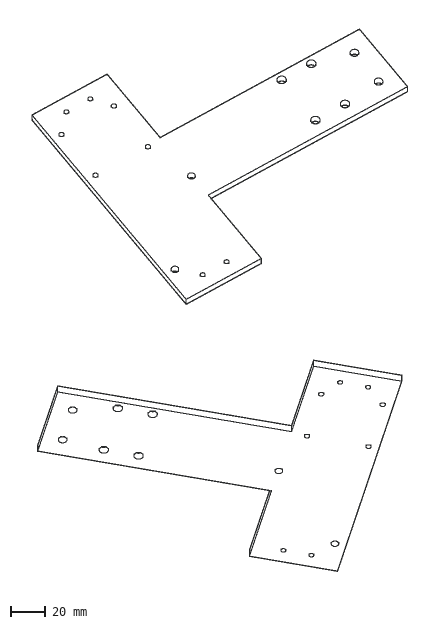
import cadquery as cq

bar_width = 160.8
bar_depth = 52.9
total_length = 193.0
stem_width = 50.2
thickness = 5.0

tip_hole_diameter = 5.0
tip_hole_spacing = 25.0
tip_hole_y = 181.0

stem_hole_diameter = 5.5
stem_hole_left_x = -20.0
stem_hole_right_x = 15.0
stem_hole_rows = (135.0, 155.8)

locating_hole_diameter = 4.5
locating_hole_points = [(8.1, 52.5), (58.7, 6.8)]

bar_hole_diameter = 3.0
bar_hole_columns = (-59.0, -23.5)
bar_hole_rows = (6.4, 43.2)

end_hole_diameter = 2.9
end_hole_x = 71.0
end_hole_rows = (18.0, 34.7)


def grid(columns, rows):
    """Return every combination of the given X and Y positions."""
    return [(x, y) for x in columns for y in rows]


def plate(width, length):
    """Return a flat plate centred in X, starting at Y = 0 and Z = 0."""
    return cq.Workplane("XY").box(width, length, thickness, centered=(True, False, False))


def drill(body, points, diameter):
    """Cut round through holes at the given points."""
    cutters = cq.Workplane("XY").pushPoints(points).circle(diameter / 2).extrude(thickness)
    return body.cut(cutters)


result = plate(bar_width, bar_depth).union(plate(stem_width, total_length))

tip_hole_columns = (-tip_hole_spacing / 2, tip_hole_spacing / 2)
stem_hole_columns = (stem_hole_left_x, stem_hole_right_x)
end_hole_columns = (-end_hole_x, end_hole_x)

result = drill(result, grid(tip_hole_columns, [tip_hole_y]), tip_hole_diameter)
result = drill(result, grid(stem_hole_columns, stem_hole_rows), stem_hole_diameter)
result = drill(result, locating_hole_points, locating_hole_diameter)
result = drill(result, grid(bar_hole_columns, bar_hole_rows), bar_hole_diameter)
result = drill(result, grid(end_hole_columns, end_hole_rows), end_hole_diameter)